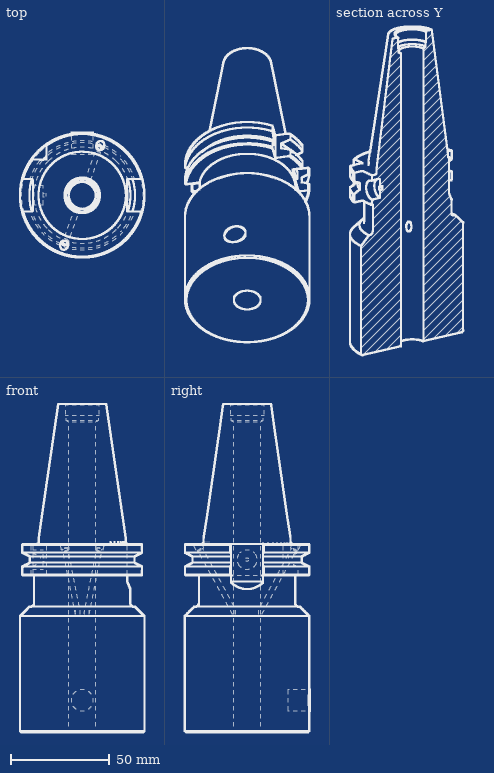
import cadquery as cq
import math

total_height = 167.2
gauge_height = 98.8
flange_top = 96.0
flange_thickness = 16.0
flange_bottom = flange_top - flange_thickness

nose_radius = 31.8
neck_radius = 24.6
flange_radius = 31.8
gauge_radius = 22.2
taper_slope = 7 / 48
tip_radius = gauge_radius - taper_slope * (total_height - gauge_height)

nose_edge_chamfer = 0.8
shoulder_chamfer = 4.9
shoulder_height = 64.0
neck_fillet = 1.7
flange_chamfer = 0.5
gauge_fillet = 0.8
tip_fillet = 0.7

groove_center = flange_top - 8.0
groove_mouth = 7.2
groove_floor_width = 3.2
groove_floor_radius = 28.0

bore_radius = 6.9
counterbore_radius = 8.5
counterbore_depth = 6.0
counterbore_chamfer = 0.5
relief_radius = 8.2
relief_depth = 8.4
relief_cone_depth = 0.8

slot_width = 16.4
slot_corner_fillet = 0.8
slot_edge_chamfer = 0.7
plain_slot_floor = 25.1
deep_slot_floor = 22.9
deep_slot_straight = 3.0
deep_slot_runout = 4.0

pocket_radius = 5.0
pocket_depth = 5.0
pilot_radius = 0.8
pilot_depth = 1.7

notch_x = 18.2
notch_y = 18.2

coolant_x = 9.2
coolant_y = 25.5
coolant_tilt = 30
coolant_mouth_radius = 2.0
coolant_mouth_depth = 3.3
coolant_radius = 1.3

screw_radius = 5.5
screw_height = 16.4
screw_length = 11.0
screw_head_face = 32.0

reach = 2 * flange_radius


def make_turned_body():
    """Revolve the nose, neck, flange and taper in one outline."""
    chamfered_nose = nose_radius - nose_edge_chamfer
    fillet_end = neck_radius + neck_fillet
    outline = (
        cq.Workplane("XZ")
        .lineTo(chamfered_nose, 0)
        .lineTo(nose_radius, nose_edge_chamfer)
        .lineTo(nose_radius, shoulder_height - shoulder_chamfer)
        .lineTo(nose_radius - shoulder_chamfer, shoulder_height)
        .lineTo(fillet_end, shoulder_height)
        .radiusArc((neck_radius, shoulder_height + neck_fillet), neck_fillet)
        .lineTo(neck_radius, flange_bottom)
        .lineTo(flange_radius - flange_chamfer, flange_bottom)
        .lineTo(flange_radius, flange_bottom + flange_chamfer)
        .lineTo(flange_radius, flange_top - flange_chamfer)
        .lineTo(flange_radius - flange_chamfer, flange_top)
        .lineTo(gauge_radius + gauge_fillet, flange_top)
        .radiusArc((gauge_radius, flange_top + gauge_fillet), gauge_fillet)
        .lineTo(gauge_radius, gauge_height)
        .lineTo(tip_radius, total_height)
        .lineTo(0, total_height)
        .close()
    )
    body = outline.revolve(360, (0, 0, 0), (0, 1, 0))
    return body.faces(">Z").edges().fillet(tip_fillet)


def make_bore():
    """Through bore with a relief and a chamfered counterbore at the taper end."""
    counterbore_floor = total_height - counterbore_depth
    relief_floor = total_height - relief_depth
    return (
        cq.Workplane("XZ")
        .lineTo(bore_radius, 0)
        .lineTo(bore_radius, relief_floor - relief_cone_depth)
        .lineTo(relief_radius, relief_floor)
        .lineTo(relief_radius, counterbore_floor)
        .lineTo(counterbore_radius, counterbore_floor)
        .lineTo(counterbore_radius, total_height - counterbore_chamfer)
        .lineTo(counterbore_radius + counterbore_chamfer, total_height)
        .lineTo(0, total_height)
        .close()
        .revolve(360, (0, 0, 0), (0, 1, 0))
    )


def make_groove():
    """Ring with a trapezoid section that cuts the gripper groove."""
    half_floor = groove_floor_width / 2
    half_mouth = groove_mouth / 2
    return (
        cq.Workplane("XZ")
        .moveTo(groove_floor_radius, groove_center - half_floor)
        .lineTo(flange_radius, groove_center - half_mouth)
        .lineTo(reach, groove_center - half_mouth)
        .lineTo(reach, groove_center + half_mouth)
        .lineTo(flange_radius, groove_center + half_mouth)
        .lineTo(groove_floor_radius, groove_center + half_floor)
        .close()
        .revolve(360, (0, 0, 0), (0, 1, 0))
    )


def make_slot(floor):
    """Driving slot on the +X side: rounded floor corners, bevelled mouth edges."""
    half = slot_width / 2
    mouth_start = math.sqrt(flange_radius**2 - half**2) - slot_edge_chamfer
    bevel_run = reach - mouth_start
    slot = (
        cq.Workplane("XY", origin=(0, 0, flange_bottom))
        .moveTo(floor, -half)
        .lineTo(mouth_start, -half)
        .lineTo(reach, -half - bevel_run)
        .lineTo(reach, half + bevel_run)
        .lineTo(mouth_start, half)
        .lineTo(floor, half)
        .close()
        .extrude(flange_thickness)
    )
    return slot.edges("|Z and <X").fillet(slot_corner_fillet)


def make_deep_slot_runout():
    """Sloping end of the +X slot in the neck."""
    straight_end = flange_bottom - deep_slot_straight
    slope_end = straight_end - deep_slot_runout
    return (
        cq.Workplane("XZ")
        .moveTo(deep_slot_floor, flange_bottom)
        .lineTo(deep_slot_floor, straight_end)
        .lineTo(neck_radius, slope_end)
        .lineTo(neck_radius, flange_bottom)
        .close()
        .extrude(slot_width / 2, both=True)
    )


def make_pocket():
    """Round pocket in the -X slot floor, with a small pilot hole at its centre."""
    floor_plane = cq.Workplane("YZ", origin=(-plain_slot_floor, 0, groove_center))
    pocket = floor_plane.circle(pocket_radius).extrude(pocket_depth)
    pilot = floor_plane.circle(pilot_radius).extrude(pocket_depth + pilot_depth)
    return pocket.union(pilot)


def make_notch():
    """Square corner notch through the flange on the -X, +Y side."""
    return cq.Workplane("XY").box(reach, reach, flange_thickness, centered=False).translate(
        (-notch_x - reach, notch_y, flange_bottom)
    )


def make_coolant_hole(x, y):
    """Stepped hole that slopes toward the tool axis and ends inside the bore."""
    distance = math.hypot(x, y)
    tilt = math.radians(coolant_tilt)
    inward = cq.Vector(-x / distance * math.sin(tilt), -y / distance * math.sin(tilt), -math.cos(tilt))
    center = cq.Vector(x, y, flange_top)
    overrun = coolant_mouth_radius
    mouth_start = center - inward * overrun
    length = (distance - bore_radius / 2) / math.sin(tilt)
    mouth = cq.Solid.makeCylinder(
        coolant_mouth_radius, overrun + coolant_mouth_depth, mouth_start, inward
    )
    channel = cq.Solid.makeCylinder(coolant_radius, length, center, inward)
    return cq.Workplane(mouth).union(cq.Workplane(channel))


def make_screw():
    """Radial clamping screw on the +Y side, standing slightly proud of the nose."""
    return (
        cq.Workplane("XZ", origin=(0, screw_head_face, screw_height))
        .circle(screw_radius)
        .extrude(screw_length)
    )


def make_holder():
    plain_slot = make_slot(plain_slot_floor).rotate((0, 0, 0), (0, 0, 1), 180)
    return (
        make_turned_body()
        .cut(make_bore())
        .cut(make_groove())
        .cut(plain_slot)
        .cut(make_slot(deep_slot_floor))
        .cut(make_deep_slot_runout())
        .cut(make_pocket())
        .cut(make_notch())
        .cut(make_coolant_hole(coolant_x, coolant_y))
        .cut(make_coolant_hole(-coolant_x, -coolant_y))
        .cut(make_screw())
    )


holder = make_holder()
clamping_screw = make_screw()

result = cq.Compound.makeCompound([holder.val(), clamping_screw.val()])